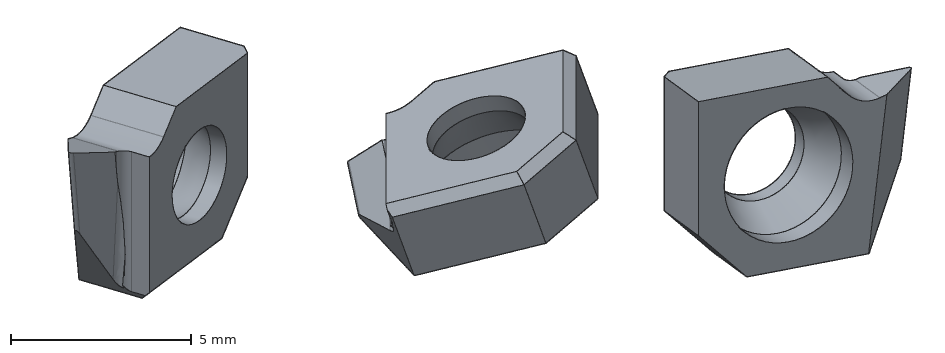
import cadquery as cq
import math

thickness = 2.38
height = 5.5
length = 7.0
overrun = 0.35

top_length = 4.01
back_bevel = 1.505
bottom_length = 5.31
under_angle = math.radians(30)
rake_angle = math.radians(15)
throat_radius = 1.0
tip_height = 4.955
edge_chamfer = 0.295

hole_reach = 2.8
hole_height = 2.81
seat_radius = 1.995
bore_radius = 1.42
seat_depth = 0.7
cone_end_depth = 1.85

relief_angle = math.radians(7)
nose_radius = 0.1
nose_x = 0.785
left_flank_angle = math.radians(33.4)
right_flank_angle = math.radians(29.3)

tooth_width = 1.5
shelf_reach = 5.41
foot_radius = 0.3
blend_start_x = 1.29
blend_drift = math.radians(3.4)

nose_reach = length - nose_radius
left_nose_end = (
    nose_x - nose_radius * math.cos(left_flank_angle),
    nose_reach + nose_radius * math.sin(left_flank_angle),
)
right_nose_end = (
    nose_x + nose_radius * math.cos(right_flank_angle),
    nose_reach + nose_radius * math.sin(right_flank_angle),
)


def relief_at(z):
    """Distance the tooth has receded at height z."""
    return (tip_height - z) * math.tan(relief_angle)


def make_blank():
    """Side outline with chamfered back and bottom edges and a rounded throat."""
    front = length + overrun
    rake_slope = math.tan(rake_angle)
    throat_reach = (height + top_length - tip_height + length * rake_slope) / (1 + rake_slope)
    throat_height = height + top_length - throat_reach
    outline = [
        (0, back_bevel),
        (0, height),
        (-top_length, height),
        (-throat_reach, throat_height),
        (-front, tip_height + overrun * rake_slope),
        (-front, (front - bottom_length) / math.tan(under_angle)),
        (-bottom_length, 0),
        (-back_bevel, 0),
    ]
    blank = cq.Workplane("YZ").polyline(outline).close().extrude(thickness)
    throat = cq.selectors.NearestToPointSelector((thickness / 2, -throat_reach, throat_height))
    blank = blank.edges("|X").edges(throat).fillet(throat_radius)

    chamfered_edges = cq.Workplane("XY")
    middles = [
        (0, height / 2),
        (-back_bevel / 2, back_bevel / 2),
        (-(back_bevel + bottom_length) / 2, 0),
    ]
    for y, z in middles:
        nearest = cq.selectors.NearestToPointSelector((thickness, y, z))
        chamfered_edges = chamfered_edges.add(blank.faces(">X").edges(nearest))
    return blank.newObject(
        [blank.val().chamfer(edge_chamfer, None, chamfered_edges.vals())]
    )


def make_hole():
    """Straight seat, conical neck and bore, entered from the X = 0 face."""
    half_section = [
        (-overrun, 0),
        (-overrun, -seat_radius),
        (seat_depth, -seat_radius),
        (cone_end_depth, -bore_radius),
        (thickness + overrun, -bore_radius),
        (thickness + overrun, 0),
    ]
    hole = cq.Workplane("XZ").polyline(half_section).close().revolve(360, (0, 0), (1, 0))
    return hole.translate((0, -hole_reach, hole_height))


def make_tooth_envelope():
    """Left flank and nose, swept down along the relief angle."""
    sweep_top = height + overrun
    offset = relief_at(sweep_top)
    sweep_height = sweep_top + overrun
    left_x, left_reach = left_nose_end
    right_x, right_reach = right_nose_end
    outer_x = thickness + overrun
    flank_foot = left_reach - (left_x + overrun) / math.tan(left_flank_angle)
    behind = length / 2
    profile = (
        cq.Workplane("XY")
        .moveTo(-overrun, -flank_foot)
        .lineTo(left_x, -left_reach)
        .threePointArc((nose_x, -length), (right_x, -right_reach))
        .lineTo(outer_x, -right_reach)
        .lineTo(outer_x, behind)
        .lineTo(-overrun, behind)
        .close()
        .val()
        .translate(cq.Vector(0, offset, sweep_top))
    )
    direction = cq.Vector(0, sweep_height * math.tan(relief_angle), -sweep_height)
    return cq.Workplane("XY").add(cq.Solid.extrudeLinear(profile, [], direction))


def make_shelf_cutter():
    """Clears the space beside the tooth, leaving a rounded foot."""
    outer_x = thickness + overrun
    front = length + 2 * overrun
    diagonal = foot_radius * math.sqrt(0.5)
    foot_x = tooth_width + foot_radius
    foot_reach = shelf_reach + foot_radius
    return (
        cq.Workplane("XY", origin=(0, 0, -overrun))
        .moveTo(tooth_width, -front)
        .lineTo(tooth_width, -foot_reach)
        .threePointArc((foot_x - diagonal, -foot_reach + diagonal), (foot_x, -shelf_reach))
        .lineTo(outer_x, -shelf_reach)
        .lineTo(outer_x, -front)
        .close()
        .extrude(height + 2 * overrun)
    )


def right_flank_section(z):
    """Space outside the right flank at height z, with its rounded foot."""
    sin_flank = math.sin(right_flank_angle)
    cos_flank = math.cos(right_flank_angle)
    nose_end_x, nose_end_reach = right_nose_end
    start_x = blend_start_x + z * math.tan(blend_drift)
    start_reach = nose_end_reach - relief_at(z) - (start_x - nose_end_x) / math.tan(right_flank_angle)
    center_x = start_x + foot_radius * cos_flank
    center_reach = start_reach + foot_radius * sin_flank
    middle_angle = (right_flank_angle + math.pi / 2) / 2
    arc_middle = (
        center_x - foot_radius * math.cos(middle_angle),
        -center_reach + foot_radius * math.sin(middle_angle),
    )
    flank_length = length / 2
    flank_end = (start_x - flank_length * sin_flank, -start_reach - flank_length * cos_flank)
    section = (
        cq.Workplane("XY", origin=(0, 0, z))
        .moveTo(*flank_end)
        .lineTo(start_x, -start_reach)
        .threePointArc(arc_middle, (center_x, -center_reach + foot_radius))
        .lineTo(center_x, flank_end[1])
        .close()
    )
    return section.val()


def make_right_flank_cutter():
    """Straight-line loft following the relief and the drift of the blend."""
    sections = [right_flank_section(-overrun), right_flank_section(height)]
    return cq.Workplane("XY").add(cq.Solid.makeLoft(sections, True))


result = (
    make_blank()
    .cut(make_hole())
    .intersect(make_tooth_envelope())
    .cut(make_shelf_cutter())
    .cut(make_right_flank_cutter())
)